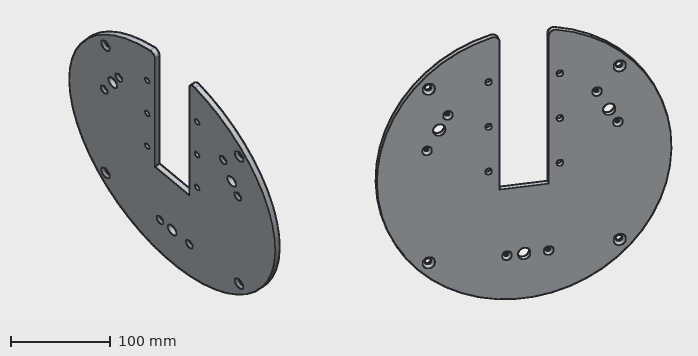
import cadquery as cq
import math

disc_diameter = 304.7
thickness = 6.5

slot_width = 51.0
slot_floor_z = -25.3
slot_mouth_radius = 6.5

side_hole_diameter = 6.7
side_hole_x = 37.0
side_hole_top_z = 98.5
side_hole_pitch = 51.0
side_hole_rows = 3

corner_hole_diameter = 6.7
corner_sink_diameter = 12.8
corner_hole_offset = 98.7

mount_angles = (-90, 30, 150)
mount_radius = 101.5
shaft_hole_diameter = 12.8
screw_hole_diameter = 4.3
screw_sink_diameter = 10.0
screw_distances = (-18.0, 25.3)
sink_angle = 90


def face_plane():
    """Workplane on the -Y face: local x is X, local y is Z, normal is -Y."""
    return cq.Workplane("XZ", origin=(0, -thickness / 2, 0))


def make_plate():
    disc_radius = disc_diameter / 2
    disc = face_plane().circle(disc_radius).extrude(-thickness)
    slot_height = disc_radius - slot_floor_z
    slot = (
        face_plane()
        .center(0, slot_floor_z + slot_height / 2)
        .rect(slot_width, slot_height)
        .extrude(-thickness)
    )
    plate = disc.cut(slot)
    mouth_selector = cq.selectors.BoxSelector(
        (-slot_width, -thickness, disc_radius / 2),
        (slot_width, thickness, disc_radius),
    )
    return plate.edges("|Y").edges(mouth_selector).fillet(slot_mouth_radius)


def mount_point(angle, tangent_distance):
    """X and Z of a point on the tangent line of a mount."""
    turn = math.radians(angle)
    x = mount_radius * math.cos(turn) - tangent_distance * math.sin(turn)
    z = mount_radius * math.sin(turn) + tangent_distance * math.cos(turn)
    return x, z


def drill(plate, points, diameter):
    holes = face_plane().pushPoints(points).circle(diameter / 2).extrude(-thickness)
    return plate.cut(holes)


def drill_countersunk(plate, points, diameter, sink_diameter):
    """Drill through holes with a conical sink opening on the -Y face."""
    front = plate.copyWorkplane(face_plane())
    return front.pushPoints(points).cskHole(diameter, sink_diameter, sink_angle)


side_points = [
    (side * side_hole_x, side_hole_top_z - row * side_hole_pitch)
    for side in (-1, 1)
    for row in range(side_hole_rows)
]
corner_points = [
    (side * corner_hole_offset, level * corner_hole_offset)
    for side in (-1, 1)
    for level in (-1, 1)
]
shaft_points = [mount_point(angle, 0) for angle in mount_angles]
screw_points = [
    mount_point(angle, distance)
    for angle in mount_angles
    for distance in screw_distances
]

result = make_plate()
result = drill(result, side_points, side_hole_diameter)
result = drill(result, shaft_points, shaft_hole_diameter)
result = drill_countersunk(result, corner_points, corner_hole_diameter, corner_sink_diameter)
result = drill_countersunk(result, screw_points, screw_hole_diameter, screw_sink_diameter)